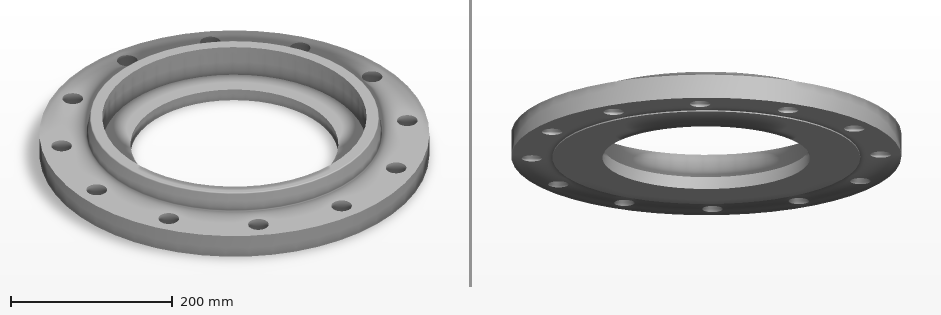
import cadquery as cq

flange_diameter = 482.6
flange_thickness = 30.0
raised_face_diameter = 381.0
raised_face_height = 1.6
total_height = 55.44
flange_top = raised_face_height + flange_thickness

hub_base_radius = 182.65
hub_top_radius = 178.6
hub_base_fillet = 1.5
hub_top_fillet = 1.6

bore_diameter = 257.2
socket_diameter = 327.15
socket_depth = 40.0

bolt_count = 12
bolt_circle_diameter = 431.8
bolt_hole_diameter = 25.4


def make_flange_plate():
    """Flange disc standing on its raised face."""
    raised_face = cq.Workplane("XY").circle(raised_face_diameter / 2).extrude(raised_face_height)
    disc = (
        cq.Workplane("XY", origin=(0, 0, raised_face_height))
        .circle(flange_diameter / 2)
        .extrude(flange_thickness)
    )
    return raised_face.union(disc)


def make_hub():
    """Conical hub with a rounded top edge, rising from the flange."""
    return (
        cq.Workplane("XZ")
        .moveTo(0, flange_top)
        .lineTo(hub_base_radius, flange_top)
        .lineTo(hub_top_radius, total_height)
        .lineTo(0, total_height)
        .close()
        .revolve(360, (0, 0), (0, 1))
        .faces(">Z")
        .edges()
        .fillet(hub_top_fillet)
    )


def fillet_hub_base(body):
    """Round the inside corner where the hub meets the flange."""
    margin = 1.0
    reach = hub_base_radius + margin
    corner = cq.selectors.BoxSelector(
        (-reach, -reach, flange_top - margin),
        (reach, reach, flange_top + margin),
        boundingbox=True,
    )
    return body.edges(corner).fillet(hub_base_fillet)


def cut_bore_and_socket(body):
    """Through bore, widened from the top into the pipe socket."""
    bore = cq.Workplane("XY").circle(bore_diameter / 2).extrude(total_height)
    socket = (
        cq.Workplane("XY", origin=(0, 0, total_height - socket_depth))
        .circle(socket_diameter / 2)
        .extrude(socket_depth)
    )
    return body.cut(bore).cut(socket)


def cut_bolt_holes(body):
    """Ring of through holes in the flange."""
    holes = (
        cq.Workplane("XY")
        .polarArray(bolt_circle_diameter / 2, 0, 360, bolt_count)
        .circle(bolt_hole_diameter / 2)
        .extrude(flange_top)
    )
    return body.cut(holes)


body = make_flange_plate().union(make_hub())
body = fillet_hub_base(body)
body = cut_bore_and_socket(body)
result = cut_bolt_holes(body)